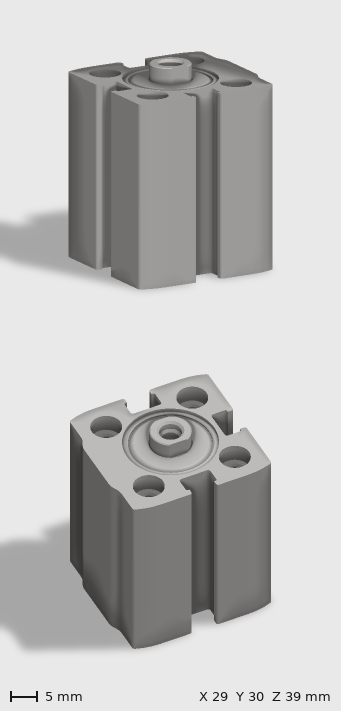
import cadquery as cq
import math

WIDTH = 29.0
HALF = WIDTH / 2
STRIP_TOP = 15.5
STRIP_TOP_HALF = 5.85
STRIP_FOOT_HALF = 7.9
STRIP_ROUND = 3.0
HOUSING_HEIGHT = 36.0
FLAT_SIDE_HALF = 9.2
SIDE_ROUND = 14.25
CORNER_ROUND = 0.6

SLOT_MOUTH = 5.15
SLOT_WIDTH = 6.4
SLOT_DEPTH = 4.52
SLOT_LIP = 1.25
FLOOR_ROUND = 0.5
LIP_ROUND = 0.43
SHOULDER_ROUND = 0.3
SLOT_ANGLES = (0, 180, -90)

MOUNT_PITCH = 18.0
COUNTERBORE_DIAMETER = 6.0
COUNTERBORE_DEPTH = 3.6
MOUNT_SINK_DIAMETER = 4.0
MOUNT_DIAMETER = 3.25

RECESS_DIAMETER = 18.2
RIDGE_OUTER_DIAMETER = 16.45
RIDGE_INNER_DIAMETER = 16
CAP_EDGE_DIAMETER = 14.6
CAP_FACE_DIAMETER = 14.05
CAP_FOOT_DIAMETER = 15.75
CAP_DROP = 0.2
CAP_EDGE_DROP = 0.3
GROOVE_DROP = 0.78
RIDGE_INNER_DROP = 0.43
RIDGE_DROP = 0.2
RECESS_DROP = 0.75

ROD_DIAMETER = 8.0
ROD_TOP = 39
ROD_LENGTH = 15.6
ROD_BOTTOM = ROD_TOP - ROD_LENGTH
ROD_CHAMFER = 0.2
ROD_BORE_DIAMETER = 8.25
FLAT_WIDTH = 7.02
FLAT_OVERCUT = 0.4
FLAT_END = 35.5
RUN_OUT_ANGLE = math.radians(33)
TAP_MOUTH_DIAMETER = 5.2
TAP_RELIEF_DIAMETER = 4.3
TAP_RELIEF_DEPTH = 1.65
TAP_SINK_DIAMETER = 4.15
TAP_DIAMETER = 3.25
TAP_DEPTH = 7.8
DRILL_HALF_ANGLE = math.radians(60)


def revolved(points):
    """Solid of revolution about Z from (radius, height) points."""
    return cq.Workplane("XZ").polyline(points).close().revolve(360, (0, 0, 0), (0, 1, 0))


def inset(offset):
    """X of a rounded side, at a distance along Y past the end of its straight part."""
    return HALF - SIDE_ROUND + math.sqrt(SIDE_ROUND**2 - offset**2)


def round_uprights(body, radius, places):
    """Fillet the vertical edge at each (x, y) place."""
    for x, y in places:
        upright = cq.selectors.NearestToPointSelector((x, y, HOUSING_HEIGHT / 2))
        body = body.edges("|Z").edges(upright).fillet(radius)
    return body


def block():
    """Solid profile with drawn-in corners and the raised strip on +Y."""
    rise = HALF - FLAT_SIDE_HALF
    corner_x = inset(rise)
    middle_x = inset(rise / 2)
    middle_y = FLAT_SIDE_HALF + rise / 2
    body = (
        cq.Workplane("XY")
        .moveTo(-corner_x, -HALF)
        .lineTo(corner_x, -HALF)
        .threePointArc((middle_x, -middle_y), (HALF, -FLAT_SIDE_HALF))
        .lineTo(HALF, FLAT_SIDE_HALF)
        .threePointArc((middle_x, middle_y), (corner_x, HALF))
        .lineTo(STRIP_FOOT_HALF, HALF)
        .lineTo(STRIP_TOP_HALF, STRIP_TOP)
        .lineTo(-STRIP_TOP_HALF, STRIP_TOP)
        .lineTo(-STRIP_FOOT_HALF, HALF)
        .lineTo(-corner_x, HALF)
        .threePointArc((-middle_x, middle_y), (-HALF, FLAT_SIDE_HALF))
        .lineTo(-HALF, -FLAT_SIDE_HALF)
        .threePointArc((-middle_x, -middle_y), (-corner_x, -HALF))
        .close()
        .extrude(HOUSING_HEIGHT)
    )
    corners = [(side * corner_x, end * HALF) for side in (-1, 1) for end in (-1, 1)]
    strip_foot = [(side * STRIP_FOOT_HALF, HALF) for side in (-1, 1)]
    strip_top = [(side * STRIP_TOP_HALF, STRIP_TOP) for side in (-1, 1)]
    body = round_uprights(body, CORNER_ROUND, corners)
    return round_uprights(body, STRIP_ROUND, strip_foot + strip_top)


def cut_slots(body):
    """Cut the same T-slot into three sides and round its edges."""
    mouth_half = SLOT_MOUTH / 2
    slot_half = SLOT_WIDTH / 2
    floor = HALF - SLOT_DEPTH
    shoulder = HALF - SLOT_LIP
    slot = (
        cq.Workplane("XY")
        .polyline(
            [
                (HALF, -mouth_half),
                (HALF, mouth_half),
                (shoulder, mouth_half),
                (shoulder, slot_half),
                (floor, slot_half),
                (floor, -slot_half),
                (shoulder, -slot_half),
                (shoulder, -mouth_half),
            ]
        )
        .close()
        .extrude(HOUSING_HEIGHT)
    )
    slot = round_uprights(slot, FLOOR_ROUND, [(floor, -slot_half), (floor, slot_half)])
    slot = round_uprights(slot, SHOULDER_ROUND, [(shoulder, -slot_half), (shoulder, slot_half)])
    for angle in SLOT_ANGLES:
        body = body.cut(slot.rotate((0, 0, 0), (0, 0, 1), angle))
        turn = math.radians(angle)
        for side in (-1, 1):
            x = HALF * math.cos(turn) - side * mouth_half * math.sin(turn)
            y = HALF * math.sin(turn) + side * mouth_half * math.cos(turn)
            body = round_uprights(body, LIP_ROUND, [(x, y)])
    return body


def mounting_hole():
    """Counterbored and countersunk through hole."""
    radius = MOUNT_DIAMETER / 2
    sink_radius = MOUNT_SINK_DIAMETER / 2
    bore_radius = COUNTERBORE_DIAMETER / 2
    bore_floor = HOUSING_HEIGHT - COUNTERBORE_DEPTH
    return revolved(
        [
            (0, 0),
            (radius, 0),
            (radius, bore_floor - (sink_radius - radius)),
            (sink_radius, bore_floor),
            (bore_radius, bore_floor),
            (bore_radius, HOUSING_HEIGHT),
            (0, HOUSING_HEIGHT),
        ]
    )


def cap_recess():
    """Ring of material removed around the cap, leaving a sloped ridge in it."""
    top = HOUSING_HEIGHT
    return revolved(
        [
            (0, top),
            (0, top - CAP_DROP),
            (CAP_FACE_DIAMETER / 2, top - CAP_DROP),
            (CAP_EDGE_DIAMETER / 2, top - CAP_EDGE_DROP),
            (CAP_FOOT_DIAMETER / 2, top - GROOVE_DROP),
            (RIDGE_INNER_DIAMETER / 2, top - GROOVE_DROP),
            (RIDGE_INNER_DIAMETER / 2, top - RIDGE_INNER_DROP),
            (RIDGE_OUTER_DIAMETER / 2, top - RIDGE_DROP),
            (RECESS_DIAMETER / 2, top - RECESS_DROP),
            (RECESS_DIAMETER / 2, top),
        ]
    )


def make_housing():
    body = cut_slots(block())
    for x in (-MOUNT_PITCH / 2, MOUNT_PITCH / 2):
        for y in (-MOUNT_PITCH / 2, MOUNT_PITCH / 2):
            body = body.cut(mounting_hole().translate((x, y, 0)))
    body = body.cut(cap_recess())
    rod_bore = (
        cq.Workplane("XY")
        .workplane(offset=ROD_BOTTOM)
        .circle(ROD_BORE_DIAMETER / 2)
        .extrude(ROD_LENGTH)
    )
    return body.cut(rod_bore)


def rod_hole():
    """Countersunk, relieved blind hole with a drill-point end."""
    mouth = TAP_MOUTH_DIAMETER / 2
    relief = TAP_RELIEF_DIAMETER / 2
    sink = TAP_SINK_DIAMETER / 2
    radius = TAP_DIAMETER / 2
    relief_end = ROD_TOP - TAP_RELIEF_DEPTH
    drill_end = ROD_TOP - TAP_DEPTH
    return revolved(
        [
            (0, ROD_TOP),
            (mouth, ROD_TOP),
            (relief, ROD_TOP - (mouth - relief)),
            (relief, relief_end),
            (sink, relief_end),
            (radius, relief_end - (sink - radius)),
            (radius, drill_end),
            (0, drill_end - radius / math.tan(DRILL_HALF_ANGLE)),
        ]
    )


def flat_cut():
    """Material removed for the wrench flat on +X, with a sloped run-out."""
    flat = FLAT_WIDTH / 2
    outside = ROD_DIAMETER / 2 + FLAT_OVERCUT
    return (
        cq.Workplane("XZ")
        .polyline(
            [
                (flat, ROD_TOP),
                (outside, ROD_TOP),
                (outside, FLAT_END - (outside - flat) * math.tan(RUN_OUT_ANGLE)),
                (flat, FLAT_END),
            ]
        )
        .close()
        .extrude(ROD_DIAMETER / 2, both=True)
    )


def make_rod():
    body = (
        cq.Workplane("XY")
        .workplane(offset=ROD_BOTTOM)
        .circle(ROD_DIAMETER / 2)
        .extrude(ROD_LENGTH)
        .faces(">Z")
        .chamfer(ROD_CHAMFER)
        .cut(rod_hole())
    )
    for angle in (0, 180):
        body = body.cut(flat_cut().rotate((0, 0, 0), (0, 0, 1), angle))
    return body


housing = make_housing()
rod = make_rod()
result = cq.Compound.makeCompound([housing.val(), rod.val()])